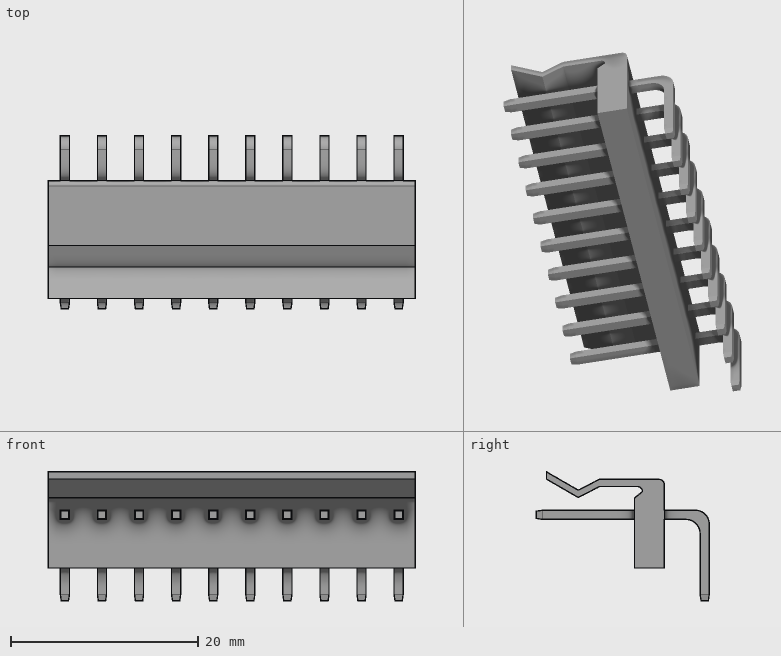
import cadquery as cq
import math


pin_count = 10
pin_pitch = 3.96
pin_width = 1.0
pin_mid_height = 5.7
pin_front_reach = 13.7
pin_back_reach = 4.8
pin_drop = 3.49
bend_radius = 1.5
tip_length = 0.7
tip_width = 0.8

end_margin = 1.78
housing_length = (pin_count - 1) * pin_pitch + 2 * end_margin
wall_thickness = 3.2
wall_height = 9.5
back_edge_radius = 0.6

notch_depth = 0.85
notch_rise = 0.68
notch_radius = 0.52

arm_thickness = 0.8
arm_bend_reach = 6.95
arm_valley_reach = 9.2
arm_tip_reach = 12.6
arm_tip_rise = 0.8
arm_tip_angle = math.radians(30)


def make_housing():
    """Wall and springy lock arm, extruded along the pin row."""
    slope = math.tan(arm_tip_angle)
    tip_top = wall_height + arm_tip_rise
    valley_top = tip_top - (arm_tip_reach - arm_valley_reach) * slope
    arm_underside = wall_height - arm_thickness

    notch_y = -wall_thickness + notch_depth
    notch_z = arm_underside - notch_radius

    profile = (
        cq.Workplane("YZ")
        .moveTo(0, 0)
        .lineTo(0, wall_height - back_edge_radius)
        .radiusArc((-back_edge_radius, wall_height), -back_edge_radius)
        .lineTo(-arm_bend_reach, wall_height)
        .lineTo(-arm_valley_reach, valley_top)
        .lineTo(-arm_tip_reach, tip_top)
        .lineTo(-arm_tip_reach, tip_top - arm_thickness)
        .lineTo(-arm_valley_reach, valley_top - arm_thickness)
        .lineTo(-arm_bend_reach, arm_underside)
        .lineTo(notch_y - notch_radius, arm_underside)
        .radiusArc((notch_y, notch_z), notch_radius)
        .lineTo(-wall_thickness, notch_z - notch_rise)
        .lineTo(-wall_thickness, 0)
        .close()
    )
    return profile.extrude(housing_length / 2, both=True)


def make_tip(plane):
    """Tapered pin end growing along the normal of a plane centred on the pin."""
    return (
        cq.Workplane(plane)
        .rect(pin_width, pin_width)
        .workplane(offset=tip_length)
        .rect(tip_width, tip_width)
        .loft(ruled=True)
    )


def make_pin():
    """One square pin, bent down behind the housing, centred on X = 0."""
    top = pin_mid_height + pin_width / 2
    bottom = pin_mid_height - pin_width / 2
    leg_front = pin_back_reach - pin_width
    front_shoulder = -pin_front_reach + tip_length
    leg_shoulder = -pin_drop + tip_length

    shank = (
        cq.Workplane("YZ")
        .moveTo(front_shoulder, top)
        .lineTo(pin_back_reach - bend_radius, top)
        .radiusArc((pin_back_reach, top - bend_radius), bend_radius)
        .lineTo(pin_back_reach, leg_shoulder)
        .lineTo(leg_front, leg_shoulder)
        .lineTo(leg_front, bottom - bend_radius)
        .radiusArc((leg_front - bend_radius, bottom), -bend_radius)
        .lineTo(front_shoulder, bottom)
        .close()
        .extrude(pin_width / 2, both=True)
    )
    leg_mid = pin_back_reach - pin_width / 2
    front_end = cq.Plane((0, front_shoulder, pin_mid_height), (1, 0, 0), (0, -1, 0))
    leg_end = cq.Plane((0, leg_mid, leg_shoulder), (1, 0, 0), (0, 0, -1))
    return shank.union(make_tip(front_end)).union(make_tip(leg_end))


result = make_housing()
pin = make_pin()
first_pin_x = -(pin_count - 1) * pin_pitch / 2
for index in range(pin_count):
    result = result.union(pin.translate((first_pin_x + index * pin_pitch, 0, 0)))